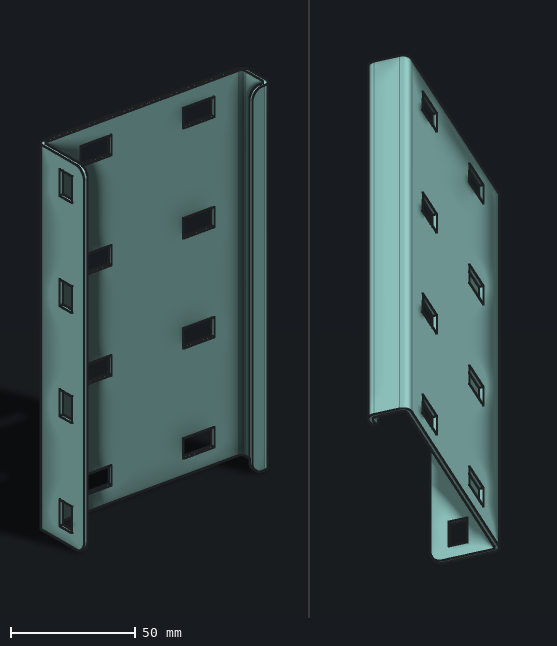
import cadquery as cq

HEIGHT = 175.0
WIDTH = 106.0
FLANGE_DEPTH = 30.0
SHEET = 2.0

HOOK_DEPTH = 18.5
LIP_LENGTH = 10.0

FLANGE_BEND = 1.0
HOOK_BEND = 2.0
CORNER_RADIUS = 5.0

ROW_COUNT = 4
ROW_PITCH = 50.0
FLANGE_SLOT_DEPTH = 8.0
FLANGE_SLOT_HEIGHT = 12.0
FLANGE_SLOT_X = 18.0
WEB_SLOT_WIDTH = 16.0
WEB_SLOT_HEIGHT = 9.1
WEB_SLOT_PITCH = 53.0
WEB_SLOT_FROM_HOOK = 24.3

FRONT_Y = -WIDTH / 2
BACK_Y = WIDTH / 2
LIP_END_Y = BACK_Y - LIP_LENGTH


def block(x_start, x_end, y_start, y_end, height=HEIGHT):
    """Box spanning the given X and Y ranges, centred on Z = 0."""
    return (
        cq.Workplane("XY")
        .box(x_end - x_start, y_end - y_start, height, centered=(False, False, True))
        .translate((x_start, y_start, 0))
    )


def bend_edges(body, x, y):
    """Select the vertical edge at (x, y)."""
    margin = SHEET / 4
    return body.edges(
        cq.selectors.BoxSelector(
            (x - margin, y - margin, -HEIGHT),
            (x + margin, y + margin, HEIGHT),
        )
    )


def round_bend(body, outside, inside, inside_radius):
    """Round a square bend with concentric inner and outer radii."""
    body = bend_edges(body, *inside).edges("|Z").fillet(inside_radius)
    return bend_edges(body, *outside).edges("|Z").fillet(inside_radius + SHEET)


def folded_sheet():
    """Web, front flange, back return and inward lip with rounded bends."""
    web = block(0, SHEET, FRONT_Y, BACK_Y)
    flange = block(0, FLANGE_DEPTH, FRONT_Y, FRONT_Y + SHEET)
    back = block(0, HOOK_DEPTH, BACK_Y - SHEET, BACK_Y)
    lip = block(HOOK_DEPTH - SHEET, HOOK_DEPTH, LIP_END_Y, BACK_Y)

    flange = flange.edges("|Y and >X").fillet(CORNER_RADIUS)
    lip = lip.edges("|X and <Y").fillet(CORNER_RADIUS)

    body = web.union(flange).union(back).union(lip)
    body = round_bend(body, (0, FRONT_Y), (SHEET, FRONT_Y + SHEET), FLANGE_BEND)
    body = round_bend(body, (0, BACK_Y), (SHEET, BACK_Y - SHEET), HOOK_BEND)
    lip_inside = (HOOK_DEPTH - SHEET, BACK_Y - SHEET)
    return round_bend(body, (HOOK_DEPTH, BACK_Y), lip_inside, HOOK_BEND)


def slot_row():
    """Cutters for one row: one flange slot and two web slots."""
    cutters = block(
        FLANGE_SLOT_X - FLANGE_SLOT_DEPTH / 2,
        FLANGE_SLOT_X + FLANGE_SLOT_DEPTH / 2,
        FRONT_Y - SHEET,
        FRONT_Y + 2 * SHEET,
        FLANGE_SLOT_HEIGHT,
    )
    first_y = BACK_Y - WEB_SLOT_FROM_HOOK
    for center_y in (first_y, first_y - WEB_SLOT_PITCH):
        web_slot = block(
            -SHEET,
            2 * SHEET,
            center_y - WEB_SLOT_WIDTH / 2,
            center_y + WEB_SLOT_WIDTH / 2,
            WEB_SLOT_HEIGHT,
        )
        cutters = cutters.union(web_slot)
    return cutters


result = folded_sheet()
row_cutters = slot_row()
for row in range(ROW_COUNT):
    row_z = (row - (ROW_COUNT - 1) / 2) * ROW_PITCH
    result = result.cut(row_cutters.translate((0, 0, row_z)))